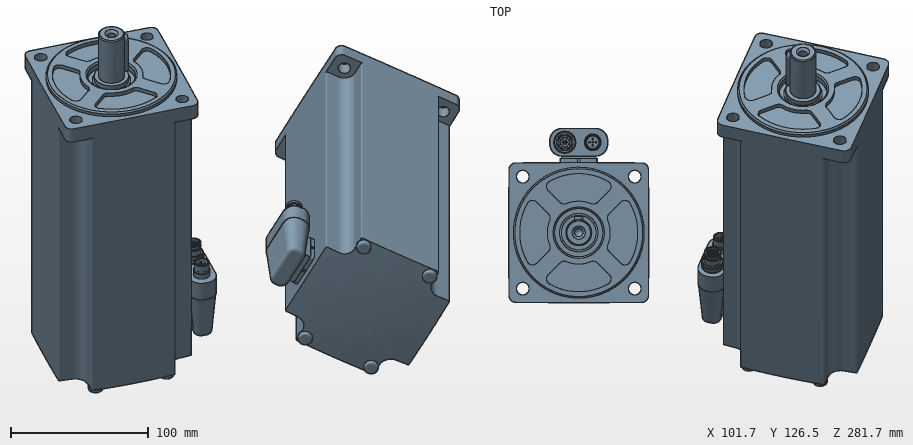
import cadquery as cq
import math

total_height = 281.7
body_width = 101.7
side_crown = 0.3
body_half = body_width / 2
corner_half = body_half - side_crown
flange_top = 241.7
flange_bottom = 230.0
flange_corner = 5.0
underside_low = 1.0
underside_radius = 648.0

bolt_offset = 40.5
bolt_hole = 9.0
channel_radius = 8.7
channel_edge_round = 0.8

pilot_diameter = 95.0
pilot_top = 245.0
pilot_chamfer = 1.0
pocket_outer_radius = 42.8
pocket_inner_radius = 22.8
pocket_rib_width = 11.8
pocket_corner = 4.2
pocket_depth = 3.0
recess_mouth = 37.2
recess_chamfer = 1.0
recess_depth = 5.5
seal_step_diameter = 28.0
seal_step_height = 0.8
seal_boss_diameter = 25.0
seal_boss_height = 4.5

shaft_diameter = 19.0
shaft_chamfer = 0.8
centre_hole = 6.0
centre_mouth = 9.5
centre_depth = 8.5
drill_point_angle = 118.0
key_width = 6.0
key_length = 32.0
key_bottom = 246.0
key_crest_y = 11.8

foot_x = 45.0
foot_y = 27.0
foot_diameter = 10.7
foot_top = 4.2
foot_round = 1.7

total_depth = 126.5
housing_length = 42.3
housing_depth = 20.3
housing_corner = 9.0
housing_top = 58.0
housing_step = 43.0
housing_bottom = 7.3
housing_y = total_depth - body_half - housing_depth / 2
housing_end_round = 2.8
taper_start_inset = 0.3
taper_end_inset = 3.5

neck_width = 25.4
neck_height = 24.2
neck_z = 25.5
seat_width = 27.0
seat_height = 25.5
seat_corner = 2.3
seat_thickness = 2.8
seat_notch_width = 1.7
seat_notch_depth = 0.5
wall_overlap = 1.5

socket_x = 10.1
large_socket_rings = (
    (14.6, 59.2), (16.0, 62.3), (14.6, 64.2), (12.0, 68.7), (10.7, 70.0), (11.8, 72.5),
)
large_socket_bore = 9.5
large_pin = 0.8
large_pin_circles = ((3.0, 6), (6.8, 12))
small_socket_rings = ((12.0, 62.0), (10.7, 68.7))
small_socket_bore = 9.0
small_pin = 1.25
small_pin_circles = ((4.8, 4),)
socket_bore_depth = 5.5
pin_setback = 1.5


def cylinder(diameter, bottom, top, x=0.0, y=0.0):
    return cq.Workplane("XY", origin=(x, y, bottom)).circle(diameter / 2).extrude(top - bottom)


def crowned_column(bottom, top):
    c = corner_half
    return (
        cq.Workplane("XY", origin=(0, 0, bottom))
        .moveTo(-c, -c)
        .threePointArc((0, -body_half), (c, -c))
        .threePointArc((body_half, 0), (c, c))
        .threePointArc((0, body_half), (-c, c))
        .threePointArc((-body_half, 0), (-c, -c))
        .close()
        .extrude(top - bottom)
    )


def bolt_channels():
    """Square corner cuts, rounded around each bolt axis."""
    width = 2 * (body_half - bolt_offset + channel_radius)
    return (
        cq.Workplane("XY")
        .rect(2 * body_half, 2 * body_half, forConstruction=True)
        .vertices()
        .rect(width, width)
        .extrude(flange_bottom)
        .edges("|Z")
        .fillet(channel_radius)
    )


def is_on_outer_side(edge):
    middle = edge.Center()
    return max(abs(middle.x), abs(middle.y)) > bolt_offset + channel_radius / 2


def make_body():
    column = crowned_column(0, flange_bottom).cut(bolt_channels())
    column = column.edges("|Z").filter(is_on_outer_side).fillet(channel_edge_round)
    dome_centre = (0, 0, underside_low + underside_radius)
    return column.intersect(cq.Workplane("XY", origin=dome_centre).sphere(underside_radius))


def make_flange():
    flange = crowned_column(flange_bottom, flange_top).edges("|Z").fillet(flange_corner)
    holes = (
        cq.Workplane("XY", origin=(0, 0, flange_bottom))
        .rect(2 * bolt_offset, 2 * bolt_offset, forConstruction=True)
        .vertices()
        .circle(bolt_hole / 2)
        .extrude(flange_top - flange_bottom)
    )
    pilot = cylinder(pilot_diameter, flange_top, pilot_top).faces(">Z").chamfer(pilot_chamfer)
    return flange.cut(holes).union(pilot)


def make_pockets():
    """Four shallow ring sectors, separated by diagonal ribs."""
    floor = pilot_top - pocket_depth
    ring = cylinder(2 * pocket_outer_radius, floor, pilot_top)
    ring = ring.cut(cylinder(2 * pocket_inner_radius, floor, pilot_top))
    for angle in (45, 135):
        rib = (
            cq.Workplane("XY", origin=(0, 0, floor))
            .rect(3 * pocket_outer_radius, pocket_rib_width)
            .extrude(pocket_depth)
            .rotate((0, 0, 0), (0, 0, 1), angle)
        )
        ring = ring.cut(rib)
    return ring.edges("|Z").fillet(pocket_corner)


def make_seal_recess():
    """Ring-shaped cut with a chamfered mouth, a stepped floor and a central boss."""
    floor = pilot_top - recess_depth
    mouth_radius = recess_mouth / 2
    bore_radius = mouth_radius - recess_chamfer
    step_radius = seal_step_diameter / 2
    boss_radius = seal_boss_diameter / 2
    boss_top = floor + seal_boss_height
    profile = [
        (0, pilot_top),
        (mouth_radius, pilot_top),
        (bore_radius, pilot_top - recess_chamfer),
        (bore_radius, floor),
        (step_radius, floor),
        (step_radius, floor + seal_step_height),
        (boss_radius, floor + seal_step_height),
        (boss_radius, boss_top),
        (0, boss_top),
    ]
    return cq.Workplane("XZ").polyline(profile).close().revolve(360, (0, 0), (0, 1))


def make_shaft():
    shaft = cylinder(shaft_diameter, flange_bottom, total_height).faces(">Z").chamfer(shaft_chamfer)
    key = (
        cq.Workplane("XZ", origin=(0, 0, key_bottom + key_length / 2))
        .slot2D(key_length, key_width, 90)
        .extrude(-key_crest_y)
    )
    hole_radius = centre_hole / 2
    mouth_radius = centre_mouth / 2
    hole_floor = total_height - centre_depth
    tip_depth = hole_radius / math.tan(math.radians(drill_point_angle / 2))
    hole_profile = [
        (0, total_height),
        (mouth_radius, total_height),
        (hole_radius, total_height - (mouth_radius - hole_radius)),
        (hole_radius, hole_floor),
        (0, hole_floor - tip_depth),
    ]
    hole = cq.Workplane("XZ").polyline(hole_profile).close().revolve(360, (0, 0), (0, 1))
    return shaft.union(key).cut(hole)


def make_feet():
    return (
        cq.Workplane("XY")
        .rect(2 * foot_x, 2 * foot_y, forConstruction=True)
        .vertices()
        .circle(foot_diameter / 2)
        .extrude(foot_top)
        .faces("<Z")
        .edges()
        .fillet(foot_round)
    )


def housing_outline(inset):
    return (
        cq.Sketch()
        .rect(housing_length - 2 * inset, housing_depth - 2 * inset)
        .vertices()
        .fillet(housing_corner - inset)
    )


def make_housing():
    base = cq.Workplane("XY", origin=(0, housing_y, housing_step))
    head = base.placeSketch(housing_outline(0)).extrude(housing_top - housing_step)
    taper_end = cq.Location(cq.Vector(0, 0, housing_bottom - housing_step))
    taper = base.placeSketch(
        housing_outline(taper_start_inset),
        housing_outline(taper_end_inset).moved(taper_end),
    ).loft()
    return head.union(taper.faces("<Z").edges().fillet(housing_end_round))


def make_mount():
    """Neck and wall seat joining the housing to the body."""
    neck = (
        cq.Workplane("XZ", origin=(0, housing_y, neck_z))
        .rect(neck_width, neck_height)
        .extrude(housing_y - body_half)
    )
    seat_plane = cq.Workplane("XZ", origin=(0, body_half + seat_thickness, neck_z))
    seat_length = seat_thickness + wall_overlap
    seat = seat_plane.rect(seat_width, seat_height).extrude(seat_length).edges("|Y").fillet(seat_corner)
    side_notches = (
        seat_plane.pushPoints([(-seat_width / 2, 0), (seat_width / 2, 0)])
        .rect(2 * seat_notch_depth, seat_notch_width)
        .extrude(seat_thickness)
    )
    end_notches = (
        seat_plane.pushPoints([(0, -seat_height / 2), (0, seat_height / 2)])
        .rect(seat_notch_width, 2 * seat_notch_depth)
        .extrude(seat_thickness)
    )
    return seat.cut(side_notches).cut(end_notches).union(neck)


def make_socket(x, rings, bore, pin, pin_circles):
    """Stacked rings around a bore, with a centre pin and circles of pins."""
    rim = rings[-1][1]
    floor = rim - socket_bore_depth
    pin_top = rim - pin_setback
    socket = cq.Workplane("XY")
    bottom = housing_top
    for diameter, top in rings:
        socket = socket.union(cylinder(diameter, bottom, top, x, housing_y))
        bottom = top
    socket = socket.cut(cylinder(bore, floor, rim, x, housing_y))
    socket = socket.union(cylinder(pin, floor, pin_top, x, housing_y))
    for circle_diameter, count in pin_circles:
        pins = (
            cq.Workplane("XY", origin=(x, housing_y, floor))
            .polarArray(circle_diameter / 2, 0, 360, count)
            .circle(pin / 2)
            .extrude(pin_top - floor)
        )
        socket = socket.union(pins)
    return socket


result = (
    make_body()
    .union(make_flange())
    .cut(make_pockets())
    .cut(make_seal_recess())
    .union(make_shaft())
    .union(make_feet())
    .union(make_mount())
    .union(make_housing())
    .union(make_socket(-socket_x, large_socket_rings, large_socket_bore, large_pin, large_pin_circles))
    .union(make_socket(socket_x, small_socket_rings, small_socket_bore, small_pin, small_pin_circles))
)